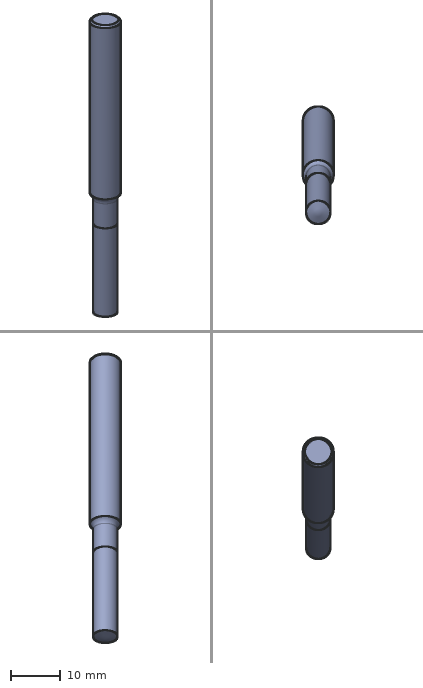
import cadquery as cq

total_length = 66.7
tip_height = 0.7
cutter_top = 20.7
neck_top = 26.2
shank_bottom = 27.55

shank_diameter = 6.35
cutter_diameter = 5.0
shank_radius = shank_diameter / 2
cutter_radius = cutter_diameter / 2

top_chamfer = 0.5

shoulder_height = shank_bottom - neck_top
shoulder_width = shank_radius - cutter_radius
shoulder_radius = (shoulder_width**2 + shoulder_height**2) / (2 * shoulder_width)

bottom_z = -total_length / 2


def start_profile():
    """Start a radius-height outline with zero height at the tip."""
    return cq.Workplane("XZ", origin=(0, 0, bottom_z))


def revolve_about_z(profile):
    """Turn a radius-height outline about the part axis."""
    return profile.close().revolve(360, (0, 0, 0), (0, 1, 0))


def make_cutter():
    """Straight cylinder with a shallow conical tip."""
    profile = (
        start_profile()
        .moveTo(0, 0)
        .lineTo(cutter_radius, tip_height)
        .lineTo(cutter_radius, cutter_top)
        .lineTo(0, cutter_top)
    )
    return revolve_about_z(profile)


def make_shank():
    """Chamfered shank with a concave shoulder and a straight neck."""
    profile = (
        start_profile()
        .moveTo(0, cutter_top)
        .lineTo(cutter_radius, cutter_top)
        .lineTo(cutter_radius, neck_top)
        .radiusArc((shank_radius, shank_bottom), shoulder_radius)
        .lineTo(shank_radius, total_length - top_chamfer)
        .lineTo(shank_radius - top_chamfer, total_length)
        .lineTo(0, total_length)
    )
    return revolve_about_z(profile)


cutter = make_cutter()
shank = make_shank()

result = cq.Compound.makeCompound([cutter.val(), shank.val()])